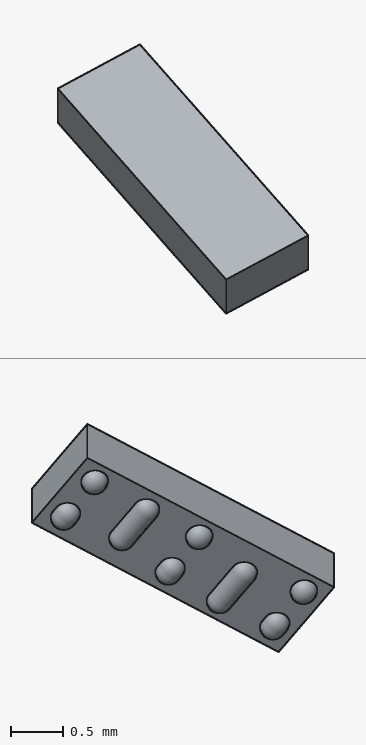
import cadquery as cq

body_length = 2.83
body_width = 0.95
total_height = 0.64

bump_radius = 0.125
body_bottom = 0.12
column_pitch = 0.6
paired_columns = (-2, 0, 2)

back_bump_ends = (0.27, 0.285)
front_bump_ends = (-0.252, -0.19)
long_bump_ends = (-0.27, 0.15)
turned_long_bump_ends = (-long_bump_ends[1], -long_bump_ends[0])


def make_body():
    height = total_height - body_bottom
    return (
        cq.Workplane("XY")
        .box(body_length, body_width, height, centered=(True, True, False))
        .translate((0, 0, body_bottom))
    )


def make_bump(x, y_ends):
    """Capsule resting on Z = 0; the body absorbs its upper part."""
    y_start, y_end = y_ends
    straight_length = y_end - y_start
    diagonal = bump_radius * 0.5**0.5
    return (
        cq.Workplane("XY")
        .moveTo(0, -bump_radius)
        .threePointArc((diagonal, -diagonal), (bump_radius, 0))
        .lineTo(bump_radius, straight_length)
        .threePointArc((diagonal, straight_length + diagonal), (0, straight_length + bump_radius))
        .close()
        .revolve(360, (0, 0, 0), (0, 1, 0))
        .translate((x, y_start, bump_radius))
    )


result = make_body()
for column in paired_columns:
    for bump_ends in (back_bump_ends, front_bump_ends):
        result = result.union(make_bump(column * column_pitch, bump_ends))

result = result.union(make_bump(-column_pitch, long_bump_ends))
result = result.union(make_bump(column_pitch, turned_long_bump_ends))